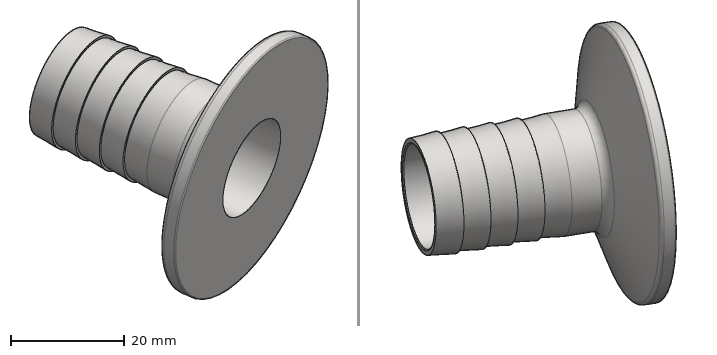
import cadquery as cq
import math

length = 40.0
flange_radius = 25.25
tube_radius = 11.0
bore_radius = 9.5
bore_chamfer = 0.2
barb_root_radius = 10.5
barb_count = 5
barb_pitch = 5.0
rim_thickness = 2.9
cone_angle = math.radians(20)
neck_fillet = 2.0
rim_back_fillet = 0.8
rim_front_fillet = 0.25

rim_start = length - rim_thickness
cone_start = rim_start - (flange_radius - tube_radius) * math.tan(cone_angle)


def body_profile():
    """Half section of the hose tail and flange, lying on the +Z side of the X axis."""
    profile = (
        cq.Workplane("XZ")
        .moveTo(bore_chamfer, bore_radius)
        .lineTo(0, bore_radius + bore_chamfer)
        .lineTo(0, barb_root_radius)
    )
    for barb in range(1, barb_count + 1):
        barb_end = barb * barb_pitch
        profile = profile.lineTo(barb_end, tube_radius)
        if barb < barb_count:
            profile = profile.lineTo(barb_end, barb_root_radius)
    return (
        profile.lineTo(cone_start, tube_radius)
        .lineTo(rim_start, flange_radius)
        .lineTo(length, flange_radius)
        .lineTo(length, bore_radius)
        .close()
    )


def circle_edge(body, x, radius):
    """Circular edge of the given radius around the axis at the given place."""
    margin = 0.05
    reach = radius + margin
    box = cq.selectors.BoxSelector(
        (x - margin, -reach, -reach), (x + margin, reach, reach), boundingbox=True
    )
    return body.edges(box)


body = body_profile().revolve(360, (0, 0, 0), (1, 0, 0))

body = circle_edge(body, cone_start, tube_radius).fillet(neck_fillet)
body = circle_edge(body, rim_start, flange_radius).fillet(rim_back_fillet)
body = body.faces(">X").edges(cq.selectors.RadiusNthSelector(-1)).fillet(rim_front_fillet)

result = body